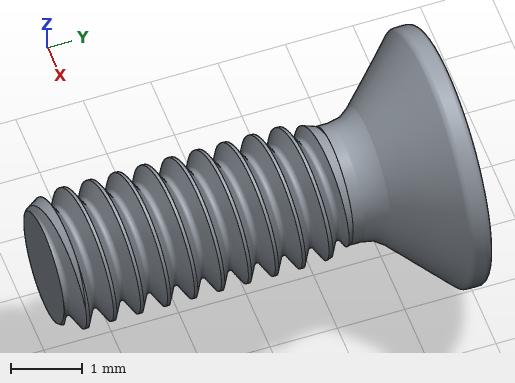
import cadquery as cq
import math

length = 6.0
thread_diameter = 2.0
pitch = length / 15
head_diameter = 3.8
rim_height = 0.3
rim_fillet = 0.095
neck_diameter = 1.73
neck_end = 1.715
neck_fillet = 0.5
lead_in_height = 0.42
tip_diameter = 1.68
tip_chamfer_height = 0.27
groove_phase = 0.3
cutter_margin = 0.02

thread_radius = thread_diameter / 2
neck_radius = neck_diameter / 2
head_radius = head_diameter / 2
tip_radius = tip_diameter / 2

flank_angle = math.radians(30)
sharp_height = pitch / (2 * math.tan(flank_angle))
root_rounding = sharp_height / 6
root_radius = thread_radius - sharp_height * 17 / 24


def make_head():
    """45 degree countersunk head with a rounded rim, blended into the neck."""
    neck_corner = rim_height + head_radius - neck_radius
    head = (
        cq.Workplane("YZ")
        .lineTo(head_radius, 0)
        .lineTo(head_radius, -rim_height)
        .lineTo(neck_radius, -neck_corner)
        .lineTo(neck_radius, -neck_end)
        .lineTo(0, -neck_end)
        .close()
        .revolve(360, (0, 0), (0, 1))
    )
    rim_edges = cq.selectors.RadiusNthSelector(-1)
    neck_edges = cq.selectors.RadiusNthSelector(0)
    head = head.edges("%CIRCLE").edges(neck_edges).edges(">Z").fillet(neck_fillet)
    return head.edges("%CIRCLE").edges(rim_edges).fillet(rim_fillet)


def make_shank():
    """Unthreaded blank, tapered where the thread begins and at the tip."""
    return (
        cq.Workplane("YZ")
        .moveTo(0, -neck_end)
        .lineTo(neck_radius, -neck_end)
        .lineTo(thread_radius, -neck_end - lead_in_height)
        .lineTo(thread_radius, -length + tip_chamfer_height)
        .lineTo(tip_radius, -length)
        .lineTo(0, -length)
        .close()
        .revolve(360, (0, 0), (0, 1))
    )


def make_groove_turn(start):
    """One right-handed turn of the groove cutter, rising from the start height on +X."""
    outer_radius = thread_radius + cutter_margin
    tangent_radius = root_radius + root_rounding * (1 - math.sin(flank_angle))
    tangent_half_width = root_rounding * math.cos(flank_angle)
    outer_half_width = tangent_half_width + (outer_radius - tangent_radius) * math.tan(flank_angle)
    profile = (
        cq.Workplane("XZ")
        .moveTo(outer_radius, start - outer_half_width)
        .lineTo(tangent_radius, start - tangent_half_width)
        .threePointArc((root_radius, start), (tangent_radius, start + tangent_half_width))
        .lineTo(outer_radius, start + outer_half_width)
        .close()
    )
    helix = cq.Wire.makeHelix(pitch, pitch, root_radius, center=cq.Vector(0, 0, start))
    return profile.sweep(cq.Workplane(helix), isFrenet=True)


def cut_thread(shank):
    """Cut the groove turn by turn, running past both ends of the shank."""
    lowest_start = -length - groove_phase
    turns = math.ceil((length + groove_phase - neck_end) / pitch) + 1
    for turn in range(turns):
        shank = shank.cut(make_groove_turn(lowest_start + turn * pitch), clean=False)
    return shank


threaded_shank = cut_thread(make_shank())
screw = make_head().union(threaded_shank)

result = screw.rotate((0, 0, 0), (1, 0, 0), -90)